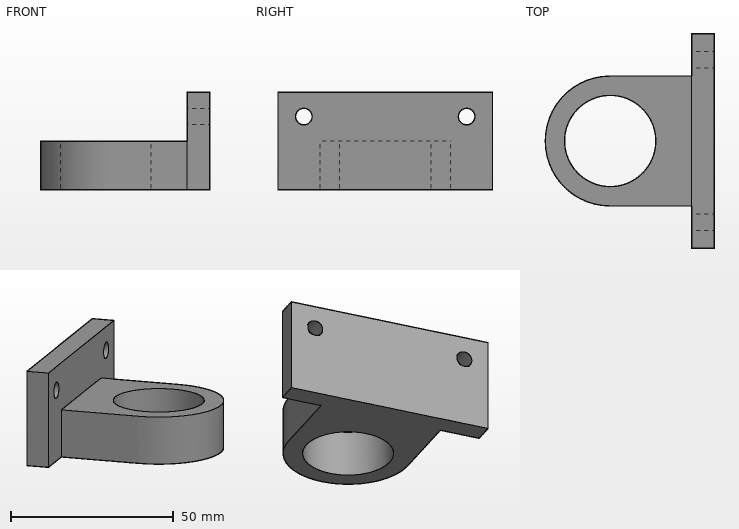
import cadquery as cq

plate_length = 66.0
plate_height = 30.0
plate_thickness = 7.0

overall_depth = 52.0
lug_width = 40.0
lug_height = plate_height / 2
nose_radius = lug_width / 2
bore_diameter = 28.0

screw_diameter = 5.0
screw_spacing = 50.0
screw_height = (lug_height + plate_height) / 2

plate_back = overall_depth - nose_radius
plate_front = plate_back - plate_thickness


def make_plate():
    """Upright rectangular plate, resting on Z = 0."""
    return (
        cq.Workplane("XY")
        .box(plate_thickness, plate_length, plate_height, centered=(False, True, False))
        .translate((plate_front, 0, 0))
    )


def make_lug():
    """Block with a rounded nose, ending at the plate front."""
    return (
        cq.Workplane("XY")
        .moveTo(plate_front, -nose_radius)
        .lineTo(0, -nose_radius)
        .threePointArc((-nose_radius, 0), (0, nose_radius))
        .lineTo(plate_front, nose_radius)
        .close()
        .extrude(lug_height)
    )


def make_bore():
    """Cylinder to cut vertically through the lug."""
    return cq.Workplane("XY").circle(bore_diameter / 2).extrude(lug_height)


def make_screw_holes():
    """Pair of cylinders to cut through the plate along X."""
    return (
        cq.Workplane("YZ", origin=(plate_front, 0, screw_height))
        .pushPoints([(-screw_spacing / 2, 0), (screw_spacing / 2, 0)])
        .circle(screw_diameter / 2)
        .extrude(plate_thickness)
    )


result = make_plate().union(make_lug()).cut(make_bore()).cut(make_screw_holes())